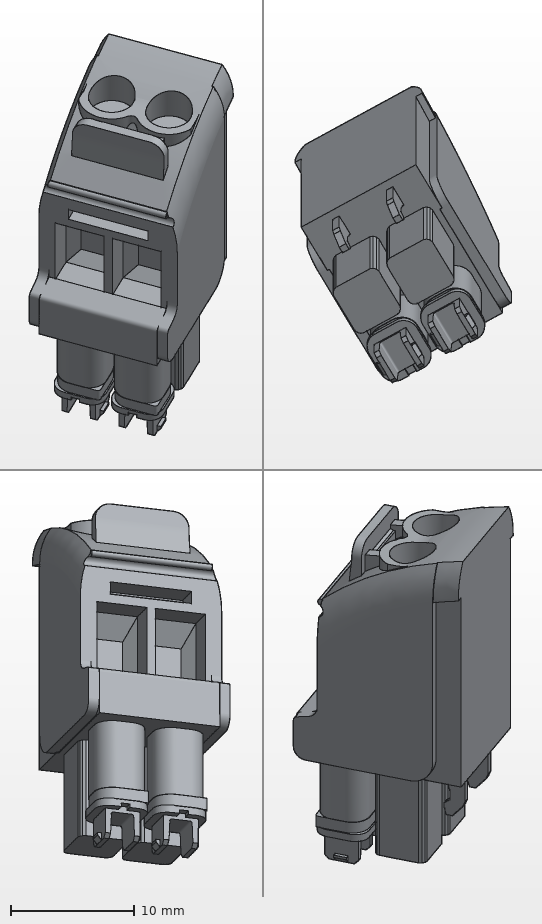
import cadquery as cq
import math


HOUSING_HEIGHT = 20.7
HOUSING_DEPTH = 14.5
HOUSING_WIDTH = 12.15
CORE_WIDTH = 10.35
SPINE_WIDTH = 10.73
SPINE_DEPTH = 4.28
POLE_PITCH = 5.0
POLE_XS = (-POLE_PITCH / 2, POLE_PITCH / 2)
FACE_DEPTH = 12.32
OVERLAP = 0.3

CROWN_RADIUS = 27.12
CROWN_AXIS_DEPTH = -5.3
CROWN_AXIS_Z = HOUSING_HEIGHT - math.sqrt(CROWN_RADIUS**2 - CROWN_AXIS_DEPTH**2)
CROWN_TOP_WIDTH = 10.18
CROWN_SHOULDER = 2.9
CROWN_REAR_INSET = 0.12
CROWN_REAR_LIP = 0.18
CROWN_END_DEPTH = 12.23

NOSE_CENTRE = (12.35, 14.5)
NOSE_RADIUS = 0.28
NOSE_WIDTH = 10.35
GROOVE_START = (FACE_DEPTH, 14.25)
GROOVE_BOTTOM = (12.0, 13.82)
GROOVE_END_Z = 13.4

LEDGE_REAR_Z = 4.4
LEDGE_SLOPE = 0.25
LEDGE_NOSE_RADIUS = 0.4
LEDGE_ROOT_RADIUS = 0.98

CHEEK_REAR_DEPTH = 2.2
CHEEK_SETBACK = 0.1
CHEEK_REAR_RADIUS = 2.0
CHEEK_FRONT_RADIUS = 1.1

HOLE_DEPTH_POSITION = 5.38
HOLE_RADIUS = 1.9
HOLE_FLOOR_Z = 17.03
COLLAR_RADIUS = 2.705
COLLAR_TOP_Z = 19.08
COLLAR_ROOT_Z = 15.3
COLLAR_WIDTH = 9.85
COLLAR_WEB_RADIUS = 0.52
COLLAR_BLEND_START = 4.85
COLLAR_BLEND_END = 5.95
COLLAR_BLEND_FRONT = 6.42

TAB_WIDTH = 8.05
TAB_REAR_DEPTH = 9.27
TAB_FRONT_DEPTH = 10.12
TAB_FOOT_DEPTH = 10.35
TAB_TOP_Z = 19.82
TAB_CORNER_RADIUS = 1.35
TAB_FLARE_DEPTH = 10.15
TAB_FLARE_Z = 17.95
TAB_ROOT_Z = 14.68
RIB_SPACING = 5.45
RIB_WIDTH = 0.95
RIB_REAR_DEPTH = 7.65
RIB_REAR_Z = 18.7
RIB_FRONT_Z = 18.5
SILL_WIDTH = 4.5
SILL_REAR_DEPTH = 8.8
SILL_STEP_DEPTH = 9.0
SILL_TOP_Z = 18.05
SILL_RISE = 0.12
SCOOP_WIDTH = 3.98
SCOOP_REAR = (6.85, 18.4)
SCOOP_MIDDLE = (7.83, 16.88)
SCOOP_FRONT = (8.8, 15.78)

WINDOW_WIDTH = 4.28
WINDOW_BOTTOM_Z = 4.25
WINDOW_TOP_Z = 10.4
WINDOW_MOUTH_DEPTH = 2.35
TAPER_DEPTH = 1.07
TAPER_END_WIDTH = 2.5
TAPER_END_BOTTOM_Z = 5.08
TAPER_END_TOP_Z = 8.47

SLOT_WIDTH = 6.97
SLOT_BOTTOM_Z = 11.2
SLOT_TOP_Z = 12.23
SLOT_DEPTH = 2.0
SLOT_BEVEL = 0.3

BLOCK_WIDTH = 4.22
BLOCK_REAR_DEPTH = 3.5
BLOCK_FRONT_DEPTH = 7.98
BLOCK_BOTTOM_Z = -8.25
BLOCK_CORNER = 0.52
BLOCK_CORNER_KNEE = 0.28
BLOCK_CORNER_RISE = 0.1
HOOK_WIDTH = 0.6
HOOK_OUTLINE = (
    (0.7, OVERLAP), (0.7, -2.85), (0.9, -3.33), (1.77, -4.35), (2.32, -4.35), (2.55, -3.6),
    (2.5, -3.27), (2.02, -2.9), (2.02, -2.08), (2.5, 0.0), (2.5, OVERLAP),
)

POST_DEPTH_POSITION = 11.0
POST_SIZE = 4.25
POST_CORNER_RADIUS = 1.53
POST_BOTTOM_Z = -5.75
NECK_SIZE = 4.2
NECK_BOTTOM_Z = -6.75
FLANGE_SIZE = 4.45
FLANGE_CORNER_RADIUS = 1.22
FLANGE_BOTTOM_Z = -7.4
SQUARE_CORNER_RADIUS = 0.25
NOTCH_WIDTH = 0.73
NOTCH_TOP_Z = -7.1

FORK_BOTTOM_Z = HOUSING_HEIGHT - 30.58
FORK_LENGTH = 2.97
NOTCH_DEPTH = (FLANGE_SIZE - FORK_LENGTH) / 2
FORK_CHAMFER = 0.37
FORK_WIDTH = 2.97
FORK_GAP_TOP_WIDTH = 1.9
FORK_GAP_BOTTOM_WIDTH = 2.08
FORK_GAP_TOP_Z = -7.68
FORK_GAP_RADIUS = 0.18
BARB_LENGTH = 1.13
BARB_REACH = 0.35
BARB_TOP_Z = -9.25
BARB_LIP = 0.2


def box(x_range, depth_range, z_range):
    """Box between two X values, two depths and two heights."""
    width = x_range[1] - x_range[0]
    length = depth_range[1] - depth_range[0]
    height = z_range[1] - z_range[0]
    return (
        cq.Workplane("XY")
        .box(width, length, height, centered=False)
        .translate((x_range[0], -depth_range[1], z_range[0]))
    )


def centred(width, x=0.0):
    """Range of a given width about x."""
    return (x - width / 2, x + width / 2)


def side_point(depth, z):
    """Point in the YZ plane."""
    return (-depth, z)


def side_prism(points, width, x=0.0):
    """Polygon of (depth, z) points extruded along X about x."""
    outline = [side_point(*point) for point in points]
    return cq.Workplane("YZ", origin=(x, 0, 0)).polyline(outline).close().extrude(width / 2, both=True)


def crown_z(depth):
    """Height of the crown at a given depth."""
    return CROWN_AXIS_Z + math.sqrt(CROWN_RADIUS**2 - (depth - CROWN_AXIS_DEPTH) ** 2)


def ledge_z(depth):
    """Height of the sloping ledge top."""
    return LEDGE_REAR_Z - LEDGE_SLOPE * (depth - FACE_DEPTH)


def crown_body(inset):
    """Solid of revolution whose rim is the crown, with rounded shoulders inset at both ends."""
    half_width = HOUSING_WIDTH / 2 - inset
    half_top = CROWN_TOP_WIDTH / 2 - inset
    plane = cq.Workplane("XZ", origin=(0, -CROWN_AXIS_DEPTH, CROWN_AXIS_Z))
    half = (
        plane.lineTo(half_width, 0)
        .lineTo(half_width, CROWN_RADIUS - CROWN_SHOULDER)
        .tangentArcPoint((half_top, CROWN_RADIUS), relative=False)
        .lineTo(0, CROWN_RADIUS)
        .close()
        .revolve(360, (0, 0, 0), (1, 0, 0))
    )
    return half.union(half.mirror("YZ"))


def near_edge(depth, z):
    """Selector of the X-parallel edge at a given depth and height."""
    return cq.NearestToPointSelector((0, -depth, z))


def side_slab(width, rear, bottom, front):
    """Side profile of the housing, uncut above the crown, extruded along X."""
    end_slope = (CROWN_END_DEPTH - CROWN_AXIS_DEPTH) / (crown_z(CROWN_END_DEPTH) - CROWN_AXIS_Z)
    rise = HOUSING_HEIGHT - crown_z(CROWN_END_DEPTH)
    corner = (CROWN_END_DEPTH - rise / end_slope, HOUSING_HEIGHT)
    slab = (
        cq.Workplane("YZ")
        .moveTo(*side_point(rear, bottom))
        .lineTo(*side_point(rear, HOUSING_HEIGHT))
        .lineTo(*side_point(*corner))
        .lineTo(*side_point(CROWN_END_DEPTH, crown_z(CROWN_END_DEPTH)))
        .lineTo(*side_point(*GROOVE_START))
        .threePointArc(side_point(*GROOVE_BOTTOM), side_point(FACE_DEPTH, GROOVE_END_Z))
        .lineTo(*side_point(FACE_DEPTH, LEDGE_REAR_Z))
        .lineTo(*side_point(front, ledge_z(front)))
        .lineTo(*side_point(front, bottom))
        .close()
        .extrude(width / 2, both=True)
    )
    return slab.edges(near_edge(front, ledge_z(front))).fillet(LEDGE_NOSE_RADIUS)


def cheeks():
    """Full-width side profile with rounded lower corners and ledge root."""
    front = HOUSING_DEPTH - CHEEK_SETBACK
    slab = side_slab(HOUSING_WIDTH, CHEEK_REAR_DEPTH, CHEEK_SETBACK, front)
    slab = slab.edges(near_edge(CHEEK_REAR_DEPTH, CHEEK_SETBACK)).fillet(CHEEK_REAR_RADIUS)
    slab = slab.edges(near_edge(front, CHEEK_SETBACK)).fillet(CHEEK_FRONT_RADIUS)
    slab = slab.edges(near_edge(FACE_DEPTH, LEDGE_REAR_Z)).fillet(LEDGE_ROOT_RADIUS)
    middle = box(centred(CORE_WIDTH), (0, HOUSING_DEPTH), (0, HOUSING_HEIGHT))
    return slab.cut(middle)


def crown_overhang():
    """Rear part of the crown that projects sideways over the narrower spine."""
    inner = (
        cq.Workplane("YZ", origin=(-HOUSING_WIDTH / 2, 0, 0))
        .center(-CROWN_AXIS_DEPTH, CROWN_AXIS_Z)
        .circle(CROWN_RADIUS - CROWN_SHOULDER - CROWN_REAR_LIP)
        .extrude(HOUSING_WIDTH)
    )
    return box(centred(HOUSING_WIDTH), (0, CHEEK_REAR_DEPTH), (0, HOUSING_HEIGHT)).cut(inner)


def nose():
    """Rounded bead along the front edge of the crown."""
    return (
        cq.Workplane("YZ")
        .center(*side_point(*NOSE_CENTRE))
        .circle(NOSE_RADIUS)
        .extrude(NOSE_WIDTH / 2, both=True)
    )


def housing():
    """Core, spine, cheeks and overhang trimmed by the crown, with the nose bead added."""
    core = side_slab(CORE_WIDTH, 0, 0, HOUSING_DEPTH)
    spine = box(centred(SPINE_WIDTH), (0, SPINE_DEPTH), (0, HOUSING_HEIGHT))
    body = core.union(spine).union(cheeks()).union(crown_overhang())
    rear = box(centred(HOUSING_WIDTH), (0, CHEEK_REAR_DEPTH), (0, HOUSING_HEIGHT))
    rear_excess = rear.cut(crown_body(CROWN_REAR_INSET))
    return body.intersect(crown_body(0)).cut(rear_excess).union(nose())


def pole_cylinders(radius, bottom, top):
    """Upright cylinder at each wire hole, joined where they overlap."""
    left, right = (
        cq.Workplane("XY", origin=(x, -HOLE_DEPTH_POSITION, bottom)).circle(radius).extrude(top - bottom)
        for x in POLE_XS
    )
    return left.union(right)


def collars():
    """Joined collars with a rounded web and a concave blend into the crown."""
    rings = pole_cylinders(COLLAR_RADIUS, COLLAR_ROOT_Z, COLLAR_TOP_Z)
    valley = math.sqrt(COLLAR_RADIUS**2 - POLE_XS[1] ** 2)
    front_seam = cq.NearestToPointSelector(
        (0, -HOLE_DEPTH_POSITION - valley, (COLLAR_ROOT_Z + COLLAR_TOP_Z) / 2)
    )
    rings = rings.edges(front_seam).fillet(COLLAR_WEB_RADIUS)
    blend = (
        cq.Workplane("YZ")
        .moveTo(*side_point(COLLAR_BLEND_FRONT, COLLAR_ROOT_Z))
        .lineTo(*side_point(COLLAR_BLEND_FRONT, COLLAR_TOP_Z))
        .lineTo(*side_point(COLLAR_BLEND_END, COLLAR_TOP_Z))
        .tangentArcPoint(side_point(COLLAR_BLEND_START, crown_z(COLLAR_BLEND_START)), relative=False)
        .lineTo(*side_point(COLLAR_BLEND_START, COLLAR_ROOT_Z))
        .close()
        .extrude(COLLAR_WIDTH / 2, both=True)
    )
    trim = box(centred(COLLAR_WIDTH), (0, HOUSING_DEPTH), (COLLAR_ROOT_Z, COLLAR_TOP_Z))
    return rings.intersect(trim).union(blend)


def scoop():
    """Steep concave hollow in the crown between the collars and the tab."""
    return (
        cq.Workplane("YZ")
        .moveTo(*side_point(SCOOP_REAR[0], HOUSING_HEIGHT))
        .lineTo(*side_point(*SCOOP_REAR))
        .threePointArc(side_point(*SCOOP_MIDDLE), side_point(*SCOOP_FRONT))
        .lineTo(*side_point(SCOOP_FRONT[0], HOUSING_HEIGHT))
        .close()
        .extrude(SCOOP_WIDTH / 2, both=True)
    )


def release_tab():
    """Upright tab with rounded top corners, ribs to the collars and a low sill behind it."""
    plate = box(centred(TAB_WIDTH), (TAB_REAR_DEPTH, TAB_FRONT_DEPTH), (TAB_ROOT_Z, TAB_TOP_Z))
    tab = plate.edges("|Y and >Z").fillet(TAB_CORNER_RADIUS)
    foot = (
        cq.Workplane("YZ")
        .moveTo(*side_point(TAB_REAR_DEPTH, TAB_ROOT_Z))
        .lineTo(*side_point(TAB_FOOT_DEPTH, TAB_ROOT_Z))
        .lineTo(*side_point(TAB_FOOT_DEPTH, crown_z(TAB_FOOT_DEPTH)))
        .lineTo(*side_point(TAB_FLARE_DEPTH, TAB_FLARE_Z))
        .tangentArcPoint(side_point(TAB_FRONT_DEPTH, TAB_TOP_Z - TAB_CORNER_RADIUS), relative=False)
        .lineTo(*side_point(TAB_REAR_DEPTH, TAB_TOP_Z - TAB_CORNER_RADIUS))
        .close()
        .extrude(TAB_WIDTH / 2, both=True)
    )
    tab = tab.union(foot)
    rib = [
        (RIB_REAR_DEPTH, TAB_ROOT_Z),
        (RIB_REAR_DEPTH, RIB_REAR_Z),
        (TAB_REAR_DEPTH, RIB_FRONT_Z),
        (TAB_REAR_DEPTH, TAB_ROOT_Z),
    ]
    for x in centred(RIB_SPACING):
        tab = tab.union(side_prism(rib, RIB_WIDTH, x))
    sill = [
        (SILL_REAR_DEPTH, TAB_ROOT_Z),
        (SILL_REAR_DEPTH, SILL_TOP_Z),
        (SILL_STEP_DEPTH, SILL_TOP_Z),
        (TAB_REAR_DEPTH, SILL_TOP_Z + SILL_RISE),
        (TAB_REAR_DEPTH, TAB_ROOT_Z),
    ]
    return tab.union(side_prism(sill, SILL_WIDTH))


def window(x):
    """Straight rectangular mouth followed by a tapering funnel."""
    mouth_end = FACE_DEPTH - WINDOW_MOUTH_DEPTH
    mouth = box(centred(WINDOW_WIDTH, x), (mouth_end, FACE_DEPTH), (WINDOW_BOTTOM_Z, WINDOW_TOP_Z))
    funnel = (
        cq.Workplane("XZ", origin=(x, -mouth_end, 0))
        .center(0, (WINDOW_BOTTOM_Z + WINDOW_TOP_Z) / 2)
        .rect(WINDOW_WIDTH, WINDOW_TOP_Z - WINDOW_BOTTOM_Z)
        .workplane(offset=-TAPER_DEPTH, origin=(x, 0, (TAPER_END_BOTTOM_Z + TAPER_END_TOP_Z) / 2))
        .rect(TAPER_END_WIDTH, TAPER_END_TOP_Z - TAPER_END_BOTTOM_Z)
        .loft(ruled=True)
    )
    return mouth.union(funnel)


def label_slot():
    """Slot in the front face with a bevel along its upper rear edge."""
    rear = FACE_DEPTH - SLOT_DEPTH
    outline = [
        (FACE_DEPTH, SLOT_BOTTOM_Z),
        (rear, SLOT_BOTTOM_Z),
        (rear, SLOT_TOP_Z - SLOT_BEVEL),
        (rear - SLOT_BEVEL, SLOT_TOP_Z),
        (FACE_DEPTH, SLOT_TOP_Z),
    ]
    return side_prism(outline, SLOT_WIDTH)


def guide_block(x):
    """Block with faceted corners along its vertical edges."""
    half_x = BLOCK_WIDTH / 2
    half_y = (BLOCK_FRONT_DEPTH - BLOCK_REAR_DEPTH) / 2
    corner = [
        (half_x, half_y - BLOCK_CORNER),
        (half_x - BLOCK_CORNER_RISE, half_y - BLOCK_CORNER_KNEE),
        (half_x - BLOCK_CORNER_KNEE, half_y - BLOCK_CORNER_RISE),
        (half_x - BLOCK_CORNER, half_y),
    ]
    right = corner + [(px, -py) for px, py in corner][::-1]
    right.sort(key=lambda point: -point[1])
    outline = right + [(-px, py) for px, py in reversed(right)]
    centre_y = -(BLOCK_REAR_DEPTH + BLOCK_FRONT_DEPTH) / 2
    return (
        cq.Workplane("XY", origin=(x, centre_y, BLOCK_BOTTOM_Z))
        .polyline(outline)
        .close()
        .extrude(OVERLAP - BLOCK_BOTTOM_Z)
    )


def post_section(x, size, bottom, top, radius, square_corner):
    """Rounded square prism, with the front right corner nearly square when asked."""
    half = size / 2
    depths = (POST_DEPTH_POSITION - half, POST_DEPTH_POSITION + half)
    prism = box((x - half, x + half), depths, (bottom, top))
    if not square_corner:
        return prism.edges("|Z").fillet(radius)
    prism = prism.edges("|Z and (<X or >Y)").fillet(radius)
    return prism.edges("|Z and >X and <Y").fillet(SQUARE_CORNER_RADIUS)


def post(x):
    """Contact post, neck and notched flange."""
    shaft = post_section(x, POST_SIZE, POST_BOTTOM_Z, OVERLAP, POST_CORNER_RADIUS, False)
    neck = post_section(x, NECK_SIZE, NECK_BOTTOM_Z, POST_BOTTOM_Z, POST_CORNER_RADIUS, True)
    flange = post_section(x, FLANGE_SIZE, FLANGE_BOTTOM_Z, NECK_BOTTOM_Z, FLANGE_CORNER_RADIUS, False)
    flange_front = POST_DEPTH_POSITION + FLANGE_SIZE / 2
    notch_depths = (flange_front - NOTCH_DEPTH, flange_front)
    notch = box(centred(NOTCH_WIDTH, x), notch_depths, (FLANGE_BOTTOM_Z, NOTCH_TOP_Z))
    return shaft.union(neck).union(flange.cut(notch))


def fork(x):
    """Two-legged contact with an outward barb on each leg."""
    depths = centred(FORK_LENGTH, POST_DEPTH_POSITION)
    block = box(centred(FORK_WIDTH, x), depths, (FORK_BOTTOM_Z, FLANGE_BOTTOM_Z))
    block = block.edges("|X and <Z").chamfer(FORK_CHAMFER)
    gap = [
        (-FORK_GAP_BOTTOM_WIDTH / 2, FORK_BOTTOM_Z),
        (-FORK_GAP_TOP_WIDTH / 2, FORK_GAP_TOP_Z),
        (FORK_GAP_TOP_WIDTH / 2, FORK_GAP_TOP_Z),
        (FORK_GAP_BOTTOM_WIDTH / 2, FORK_BOTTOM_Z),
    ]
    gap_plane = cq.Workplane("XZ", origin=(x, -POST_DEPTH_POSITION, 0))
    slot = gap_plane.polyline(gap).close().extrude(FORK_LENGTH, both=True)
    legs = block.cut(slot.edges("|Y and >Z").fillet(FORK_GAP_RADIUS))
    for side in (-1, 1):
        inner = side * FORK_GAP_BOTTOM_WIDTH / 2
        root = side * FORK_WIDTH / 2
        tip = root + side * BARB_REACH
        barb = [
            (inner, BARB_TOP_Z),
            (tip, BARB_TOP_Z),
            (tip, BARB_TOP_Z - BARB_LIP),
            (root, FORK_BOTTOM_Z),
            (inner, FORK_BOTTOM_Z),
        ]
        legs = legs.union(gap_plane.polyline(barb).close().extrude(BARB_LENGTH / 2, both=True))
    return legs


body = housing().cut(scoop())
body = body.union(collars()).union(release_tab())
body = body.cut(pole_cylinders(HOLE_RADIUS, HOLE_FLOOR_Z, HOUSING_HEIGHT))
body = body.cut(label_slot())
for pole_x in POLE_XS:
    body = body.cut(window(pole_x))
    body = body.union(guide_block(pole_x))
    body = body.union(side_prism(HOOK_OUTLINE, HOOK_WIDTH, pole_x))
    body = body.union(post(pole_x))
    body = body.union(fork(pole_x))

result = body